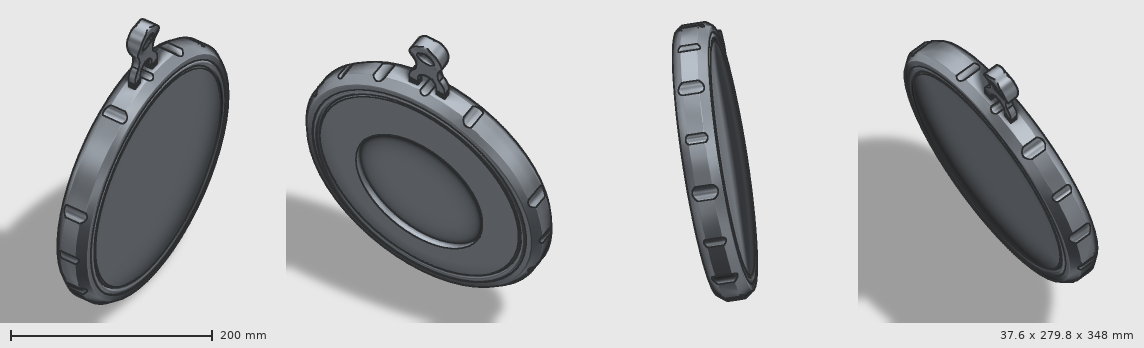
import cadquery as cq
import math

overall_height = 348.0
body_radius = 280.0 / 2
band_half_width = 8.5
flange_half_width = 17.8
flange_radius = 133.0
edge_fillet = 1.7

bead_ring_radius = 123.3
bead_radius = 3.5
bead_half_width = 18.8
disc_radius = 235.5 / 2

pocket_radius = 150.0 / 2
pocket_drop = 8.7
pocket_depth = 8.0

large_notch_radius = 20.2 / 2
large_notch_depth = 3.5
small_notch_radius = 14.0 / 2
small_notch_depth = 2.0
notch_pitch = 45.0
plain_sector_angle = 45.0
plain_sector_radius = 138.0

ring_radius = 18.8
ring_hole_radius = 20.2 / 2
ring_half_width = 8.0
ring_top_trim = 0.052
ring_top_fillet = 2.5
stem_half_width = 4.0
taper_top_z = 195.3
taper_top_fillet = 32.7
taper_bottom_z = 180.0
taper_bottom_fillet = 12.2
neck_top_y = 16.0
neck_middle = (12.5, 170.3)
shoulder = (14.5, 161.5)
shoulder_bulge = (18.8, 156.5)
leg_outer = 21.0
leg_inner = 10.8
arch_centre_z = 149.7
leg_top_z = 148.3
leg_groove_radius = 1.5
leg_groove_z = 142.7
hanger_foot_z = 135.8

small_notch_centre = body_radius - small_notch_depth + small_notch_radius
rim_bottom = (
    body_radius**2 + small_notch_centre**2 - small_notch_radius**2
) / (2 * small_notch_centre)
hanger_top = overall_height - rim_bottom
ring_centre_z = hanger_top + ring_top_trim - ring_radius


def make_disc(rim_radius):
    """Disc with a bevelled rim and a rounded bead let into both faces."""
    bevel_slope = (flange_half_width - band_half_width) / (body_radius - flange_radius)
    rim_half_width = band_half_width + bevel_slope * (body_radius - rim_radius)
    bead_base = bead_half_width - bead_radius
    bead_outer = bead_ring_radius + bead_radius
    bead_inner = bead_ring_radius - bead_radius
    half = (
        cq.Workplane("XY")
        .lineTo(0, rim_radius)
        .lineTo(-rim_half_width, rim_radius)
        .lineTo(-flange_half_width, flange_radius)
        .lineTo(-flange_half_width, bead_outer)
        .lineTo(-bead_base, bead_outer)
        .threePointArc((-bead_half_width, bead_ring_radius), (-bead_base, bead_inner))
        .lineTo(-flange_half_width, disc_radius)
        .lineTo(-flange_half_width, 0)
        .close()
        .revolve(360, (0, 0, 0), (1, 0, 0))
    )
    bevel = max(half.faces("%CONE").vals(), key=lambda face: face.Area())
    bevel_circles = [edge for edge in bevel.Edges() if edge.geomType() == "CIRCLE"]
    half = half.newObject(bevel_circles).fillet(edge_fillet)
    return half.union(half.mirror("YZ"))


def rim_cutter(radius, depth, angle):
    """Cylinder along X that cuts a notch; the angle runs from +Z toward -Y."""
    distance = body_radius - depth + radius
    turn = math.radians(angle)
    return (
        cq.Workplane("YZ")
        .center(-distance * math.sin(turn), distance * math.cos(turn))
        .circle(radius)
        .extrude(bead_half_width, both=True)
    )


def make_plain_sector_wedge():
    """Wedge that spans the plain sector between two large notches."""
    reach = 2 * body_radius
    first = math.radians(plain_sector_angle - notch_pitch / 2)
    last = math.radians(plain_sector_angle + notch_pitch / 2)
    return (
        cq.Workplane("YZ")
        .polyline([
            (0, 0),
            (-reach * math.sin(first), reach * math.cos(first)),
            (-reach * math.sin(last), reach * math.cos(last)),
        ])
        .close()
        .extrude(bead_half_width, both=True)
    )


def make_body():
    """Disc with a lowered plain sector, grip notches and the round pocket."""
    wedge = make_plain_sector_wedge()
    body = make_disc(body_radius).cut(wedge.cut(make_disc(plain_sector_radius)))
    for step in range(round(360 / notch_pitch)):
        angle = step * notch_pitch
        body = body.cut(rim_cutter(large_notch_radius, large_notch_depth, angle + notch_pitch / 2))
        if angle != plain_sector_angle:
            body = body.cut(rim_cutter(small_notch_radius, small_notch_depth, angle))
    pocket = (
        cq.Workplane("YZ", origin=(-flange_half_width, 0, -pocket_drop))
        .circle(pocket_radius)
        .extrude(pocket_depth)
    )
    return body.cut(pocket)


def make_side_profile():
    """Bar along Y with a rounded wide top that tapers into the thinner stem."""
    profile = (
        cq.Workplane("XZ")
        .polyline([
            (stem_half_width, hanger_foot_z),
            (stem_half_width, taper_bottom_z),
            (ring_half_width, taper_top_z),
            (ring_half_width, hanger_top),
            (-ring_half_width, hanger_top),
            (-ring_half_width, taper_top_z),
            (-stem_half_width, taper_bottom_z),
            (-stem_half_width, hanger_foot_z),
        ])
        .close()
        .extrude(leg_outer, both=True)
    )
    profile = profile.edges("|Y and >Z").fillet(ring_top_fillet)
    for half_width, z, radius in (
        (ring_half_width, taper_top_z, taper_top_fillet),
        (stem_half_width, taper_bottom_z, taper_bottom_fillet),
    ):
        for x in (-half_width, half_width):
            corner = cq.selectors.NearestToPointSelector((x, 0, z))
            profile = profile.edges("|Y").edges(corner).fillet(radius)
    return profile


def mirrored(point):
    """The point on the other side of the hanger's middle."""
    return (-point[0], point[1])


def make_hanger():
    """Ring and fork outline along X, trimmed by the paddle-shaped side profile."""
    neck_top = (neck_top_y, ring_centre_z - math.sqrt(ring_radius**2 - neck_top_y**2))
    fork = (
        cq.Workplane("YZ")
        .moveTo(*neck_top)
        .threePointArc(neck_middle, shoulder)
        .threePointArc(shoulder_bulge, (leg_outer, leg_top_z))
        .lineTo(leg_outer, hanger_foot_z)
        .lineTo(leg_inner, hanger_foot_z)
        .lineTo(leg_inner, arch_centre_z)
        .threePointArc((0, arch_centre_z + leg_inner), (-leg_inner, arch_centre_z))
        .lineTo(-leg_inner, hanger_foot_z)
        .lineTo(-leg_outer, hanger_foot_z)
        .lineTo(-leg_outer, leg_top_z)
        .threePointArc(mirrored(shoulder_bulge), mirrored(shoulder))
        .threePointArc(mirrored(neck_middle), mirrored(neck_top))
        .close()
        .extrude(ring_half_width, both=True)
    )
    ring = (
        cq.Workplane("YZ")
        .center(0, ring_centre_z)
        .circle(ring_radius)
        .extrude(ring_half_width, both=True)
    )
    hole = (
        cq.Workplane("YZ")
        .center(0, ring_centre_z)
        .circle(ring_hole_radius)
        .extrude(ring_half_width, both=True)
    )
    return fork.union(ring).cut(hole).intersect(make_side_profile())


def make_leg_groove(side):
    """Four rods that cut a half-round groove around one leg."""
    leg_half_width = (leg_outer - leg_inner) / 2
    leg_centre = side * (leg_outer + leg_inner) / 2
    long_x = stem_half_width + leg_groove_radius
    long_y = leg_half_width + leg_groove_radius
    groove = cq.Workplane("XY")
    for end in (-1, 1):
        along_y = (
            cq.Workplane("XZ")
            .center(end * stem_half_width, 0)
            .circle(leg_groove_radius)
            .extrude(long_y, both=True)
        )
        along_x = (
            cq.Workplane("YZ")
            .center(end * leg_half_width, 0)
            .circle(leg_groove_radius)
            .extrude(long_x, both=True)
        )
        groove = groove.add(along_y).add(along_x)
    return groove.combine().translate((0, leg_centre, leg_groove_z))


hanger = make_hanger()
for side in (-1, 1):
    hanger = hanger.cut(make_leg_groove(side))

result = make_body().union(hanger)